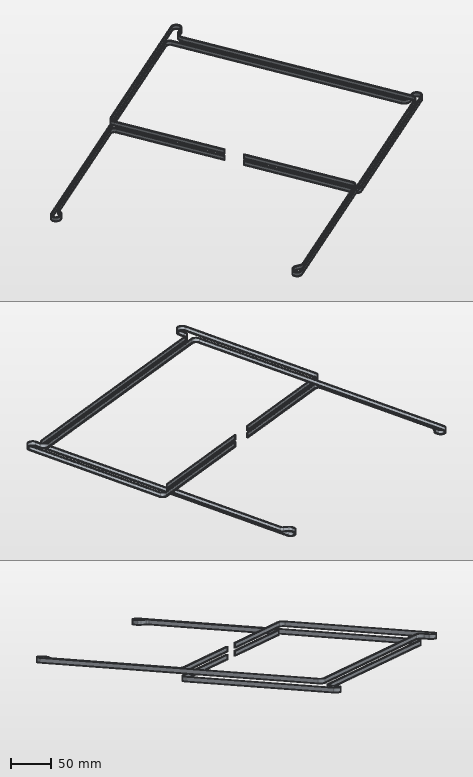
import cadquery as cq
import math

frame_width = 335.68
frame_length = 403.97
stack_height = 16.0

strip_thickness = 1.5
strip_height = 6.0

corner_radius = 6.0
hook_radius = 6.1
hook_bend_radius = 8.0
loop_radius = 5.6
joggle_radius = 5.0

back_bar_setback = 20.75
crossbar_front_y = -8.25
crossbar_gap = 26.0
return_gap = 1.75
loop_leg_end = 10.5

half_thickness = strip_thickness / 2
rail_x = frame_width / 2 - half_thickness
back_y = frame_length / 2
front_y = -back_y
back_bar_y = back_y - back_bar_setback - half_thickness
crossbar_y = crossbar_front_y + half_thickness
hook_center_y = back_y - half_thickness - hook_radius
loop_center_y = front_y + half_thickness + loop_radius
hook_leg_x = -rail_x + 2 * hook_radius
loop_leg_x = rail_x - 2 * loop_radius
return_x = rail_x - strip_thickness - return_gap
slant_front_y = front_y + loop_leg_end
slant_back_y = slant_front_y + (return_x - loop_leg_x)

slant_angle = math.radians(45)
joggle_tangent = joggle_radius * math.tan(slant_angle / 2)
joggle_diagonal = joggle_tangent * math.cos(slant_angle)


def band_centreline():
    """Path from the left free end of the crossbar, round the frame, to the right free end."""
    return (
        cq.Workplane("XY")
        .moveTo(-crossbar_gap / 2, crossbar_y)
        .lineTo(-rail_x + corner_radius, crossbar_y)
        .tangentArcPoint((-rail_x, crossbar_y + corner_radius), relative=False)
        .lineTo(-rail_x, hook_center_y)
        .threePointArc((-rail_x + hook_radius, hook_center_y + hook_radius), (hook_leg_x, hook_center_y))
        .lineTo(hook_leg_x, back_bar_y + hook_bend_radius)
        .tangentArcPoint((hook_leg_x + hook_bend_radius, back_bar_y), relative=False)
        .lineTo(rail_x - corner_radius, back_bar_y)
        .tangentArcPoint((rail_x, back_bar_y - corner_radius), relative=False)
        .lineTo(rail_x, loop_center_y)
        .threePointArc((rail_x - loop_radius, loop_center_y - loop_radius), (loop_leg_x, loop_center_y))
        .lineTo(loop_leg_x, slant_front_y - joggle_tangent)
        .tangentArcPoint((loop_leg_x + joggle_diagonal, slant_front_y + joggle_diagonal), relative=False)
        .lineTo(return_x - joggle_diagonal, slant_back_y - joggle_diagonal)
        .tangentArcPoint((return_x, slant_back_y + joggle_tangent), relative=False)
        .lineTo(return_x, crossbar_y - corner_radius)
        .tangentArcPoint((return_x - corner_radius, crossbar_y), relative=False)
        .lineTo(crossbar_gap / 2, crossbar_y)
    )


def upper_band():
    """Strip swept along the centreline, with its top face at the top of the stack."""
    middle_z = (stack_height - strip_height) / 2
    return (
        cq.Workplane("YZ", origin=(-crossbar_gap / 2, crossbar_y, 0))
        .rect(strip_thickness, strip_height)
        .sweep(band_centreline())
        .translate((0, 0, middle_z))
    )


def lower_band():
    """The same band turned over about the Y axis: hook on the right, loop on the left."""
    return upper_band().rotate((0, 0, 0), (0, 1, 0), 180)


result = cq.Compound.makeCompound([upper_band().val(), lower_band().val()])